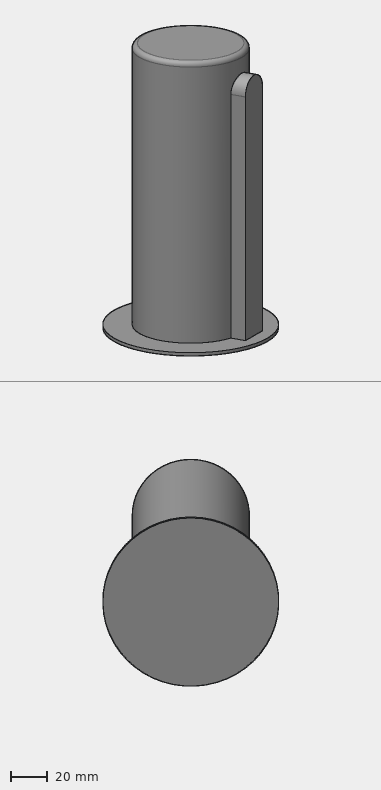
import cadquery as cq

flange_diameter = 96.0
flange_thickness = 2.0

total_height = 164.0
body_diameter = 64.0
top_edge_radius = 3.0

rib_width = 19.4
rib_reach = 39.5
rib_top = 152.0


def make_flange():
    return cq.Workplane("XY").circle(flange_diameter / 2).extrude(flange_thickness)


def make_body():
    body = cq.Workplane("XY").circle(body_diameter / 2).extrude(total_height)
    return body.faces(">Z").edges().fillet(top_edge_radius)


def make_rib():
    """Rib profile in the YZ plane, extruded from the body axis outwards."""
    half_width = rib_width / 2
    arch_start = rib_top - half_width
    return (
        cq.Workplane("YZ")
        .moveTo(-half_width, 0)
        .lineTo(half_width, 0)
        .lineTo(half_width, arch_start)
        .threePointArc((0, rib_top), (-half_width, arch_start))
        .close()
        .extrude(rib_reach)
    )


result = make_flange().union(make_body()).union(make_rib())